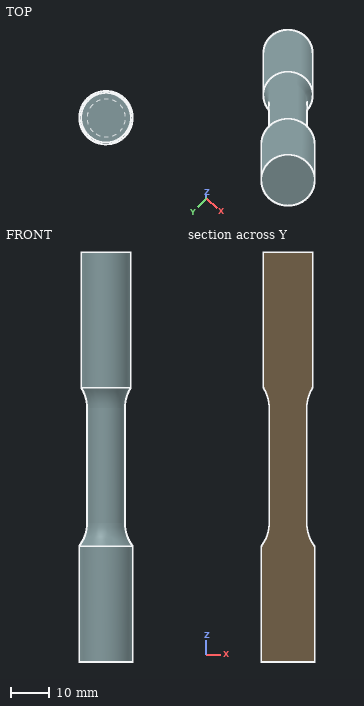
import cadquery as cq
import math

total_length = 107.0
lower_grip_radius = 14.0 / 2
upper_grip_radius = 13.0 / 2
neck_radius = 10.0 / 2
shoulder_radius = 10.0
lower_grip_length = 30.3
upper_grip_length = 35.4


def shoulder_angle(grip_radius):
    """Angle swept by a shoulder arc from the neck out to the grip."""
    return math.acos(1 - (grip_radius - neck_radius) / shoulder_radius)


def shoulder_point(angle, neck_end, direction):
    """Point on a shoulder arc that is tangent to the neck at neck_end."""
    radius = neck_radius + shoulder_radius * (1 - math.cos(angle))
    return radius, neck_end + direction * shoulder_radius * math.sin(angle)


lower_angle = shoulder_angle(lower_grip_radius)
upper_angle = shoulder_angle(upper_grip_radius)
neck_bottom = lower_grip_length + shoulder_radius * math.sin(lower_angle)
upper_grip_bottom = total_length - upper_grip_length
neck_top = upper_grip_bottom - shoulder_radius * math.sin(upper_angle)

profile = (
    cq.Workplane("XZ")
    .moveTo(0, 0)
    .lineTo(lower_grip_radius, 0)
    .lineTo(lower_grip_radius, lower_grip_length)
    .threePointArc(shoulder_point(lower_angle / 2, neck_bottom, -1), (neck_radius, neck_bottom))
    .lineTo(neck_radius, neck_top)
    .threePointArc(
        shoulder_point(upper_angle / 2, neck_top, 1),
        (upper_grip_radius, upper_grip_bottom),
    )
    .lineTo(upper_grip_radius, total_length)
    .lineTo(0, total_length)
    .close()
)

result = profile.revolve(360, (0, 0, 0), (0, 1, 0))